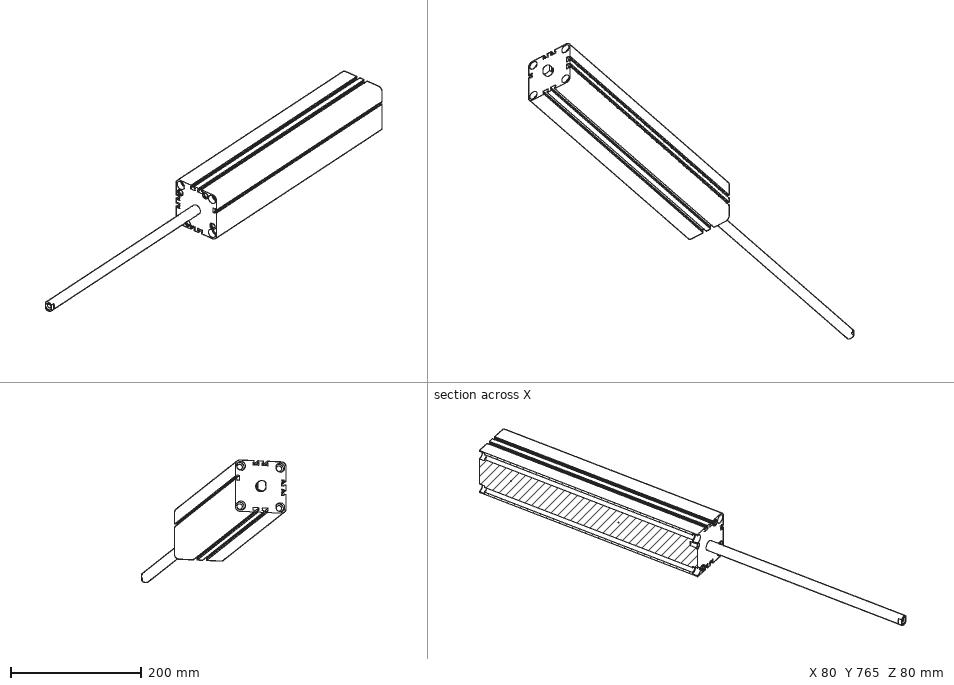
import cadquery as cq
TOTAL_LENGTH = 765.0
BODY_WIDTH = 80.0
BODY_LENGTH = 400.0
CORNER_RADIUS = 8.0

ROD_DIAMETER = 16.0
ROD_REAR_OVERHANG = 8.0
FLAT_SPACING = 12.0
FLAT_LENGTH = 5.0
ROD_MOUTH_DIAMETER = 11.0
ROD_BORE_DIAMETER = 6.65
ROD_BORE_DEPTH = 15.0

CORNER_HOLE_SPACING = 62.0
CORNER_HOLE_DIAMETER = 8.5
COUNTERBORE_DIAMETER = 14.0
COUNTERBORE_DEPTH = 9.0

SIDE_HOLE_ALONG = 17.5
SIDE_HOLE_OUT = 32.0
SIDE_HOLE_MOUTH_DIAMETER = 11.0
SIDE_HOLE_MOUTH_DEPTH = 2.0
SIDE_HOLE_DIAMETER = 6.65
SIDE_HOLE_DEPTH = 14.0

SLOT_DEPTH = 7.0
LIP_THICKNESS = 3.0
UNDERCUT = 1.5
PAIR_RIB_WIDTH = 8.5
PAIR_OPENING = 6.0
SINGLE_OPENING = 4.5
SINGLE_SLOT_HEIGHT = 12.0

half_width = BODY_WIDTH / 2
rod_front = -TOTAL_LENGTH / 2
rod_rear = TOTAL_LENGTH / 2
body_rear = rod_rear - ROD_REAR_OVERHANG
body_front = body_rear - BODY_LENGTH
body_middle = (body_front + body_rear) / 2
Y_AXIS = cq.Vector(0, 1, 0)


def cylinder(x, z, diameter, start, length):
    """A cylinder running toward +Y from the plane y = start."""
    return cq.Workplane(cq.Solid.makeCylinder(diameter / 2, length, cq.Vector(x, start, z), Y_AXIS))


def turned(shape, angle):
    """The shape turned about the Y axis; +90 degrees takes +Z to +X."""
    return shape.rotate((0, 0, 0), (0, 1, 0), angle)


def t_slot(x, opening):
    """A T-slot along the whole body, cut into the +Z side."""
    base_height = SLOT_DEPTH - LIP_THICKNESS
    neck = cq.Workplane().box(opening, BODY_LENGTH, SLOT_DEPTH)
    neck = neck.translate((x, body_middle, half_width - SLOT_DEPTH / 2))
    base = cq.Workplane().box(opening + 2 * UNDERCUT, BODY_LENGTH, base_height)
    base = base.translate((x, body_middle, half_width - SLOT_DEPTH + base_height / 2))
    return neck.union(base)


def corner_hole():
    """The through hole in the +X +Z corner, with its two counterbores."""
    offset = CORNER_HOLE_SPACING / 2
    hole = cylinder(offset, offset, CORNER_HOLE_DIAMETER, body_front, BODY_LENGTH)
    for start in (body_front, body_rear - COUNTERBORE_DEPTH):
        hole = hole.union(cylinder(offset, offset, COUNTERBORE_DIAMETER, start, COUNTERBORE_DEPTH))
    return hole


def side_hole():
    """The stepped blind hole in the front face near the +Z side."""
    mouth = cylinder(SIDE_HOLE_ALONG, SIDE_HOLE_OUT, SIDE_HOLE_MOUTH_DIAMETER, body_front, SIDE_HOLE_MOUTH_DEPTH)
    return mouth.union(
        cylinder(SIDE_HOLE_ALONG, SIDE_HOLE_OUT, SIDE_HOLE_DIAMETER, body_front, SIDE_HOLE_DEPTH)
    )


def make_body():
    body = cq.Workplane().box(BODY_WIDTH, BODY_LENGTH, BODY_WIDTH)
    body = body.edges("|Y").fillet(CORNER_RADIUS).translate((0, body_middle, 0))

    pair_offset = (PAIR_RIB_WIDTH + PAIR_OPENING) / 2
    for angle in (0, 180, 270):
        for x in (-pair_offset, pair_offset):
            body = body.cut(turned(t_slot(x, PAIR_OPENING), angle))
    body = body.cut(turned(t_slot(-SINGLE_SLOT_HEIGHT, SINGLE_OPENING), 90))

    for angle in (0, 90, 180, 270):
        body = body.cut(turned(corner_hole(), angle))
        body = body.cut(turned(side_hole(), angle))
    return body


def make_rod():
    """The rod, with a pair of flats facing -X and +X at each end."""
    rod = cylinder(0, 0, ROD_DIAMETER, rod_front, TOTAL_LENGTH)
    cutter_offset = (FLAT_SPACING + ROD_DIAMETER) / 2
    for y in (rod_front + FLAT_LENGTH / 2, rod_rear - FLAT_LENGTH / 2):
        for x in (-cutter_offset, cutter_offset):
            cutter = cq.Workplane().box(ROD_DIAMETER, FLAT_LENGTH, ROD_DIAMETER)
            rod = rod.cut(cutter.translate((x, y, 0)))
    return rod


def rod_bore():
    """A countersunk hole in the front of the rod, with a 90-degree cone at its bottom."""
    radius = ROD_BORE_DIAMETER / 2
    mouth_radius = ROD_MOUTH_DIAMETER / 2
    bottom = rod_front + ROD_BORE_DEPTH
    half_profile = [
        (0, rod_front),
        (mouth_radius, rod_front),
        (radius, rod_front + mouth_radius - radius),
        (radius, bottom),
        (0, bottom + radius),
    ]
    return cq.Workplane().polyline(half_profile).close().revolve(360, (0, 0, 0), (0, 1, 0))


result = make_body().union(make_rod()).cut(rod_bore())